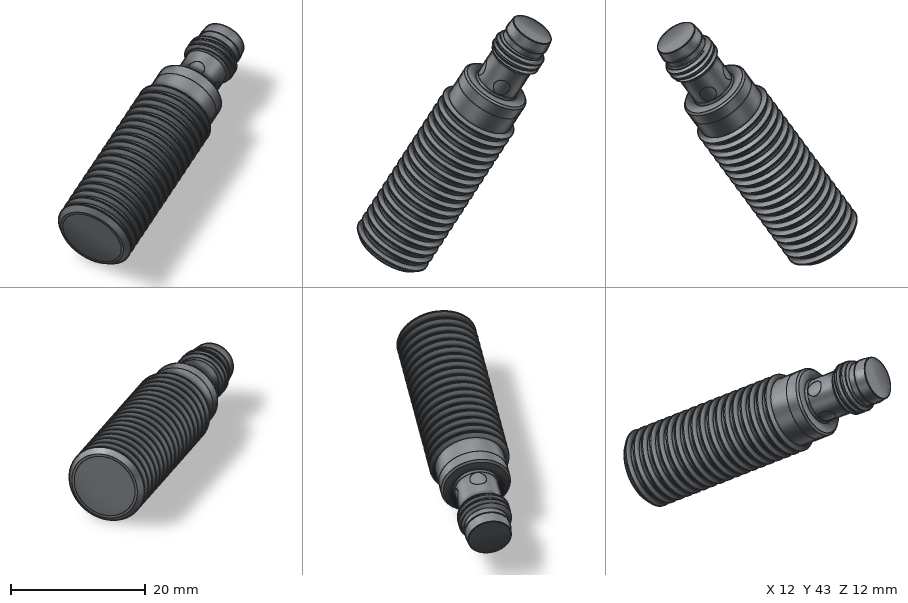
import cadquery as cq

OVERALL_LENGTH = 43.0

SLEEVE_LENGTH = 30.0
BARREL_RADIUS = 5.25
RIB_DIAMETER = 12.0
RIB_RADIUS = RIB_DIAMETER / 2
RIB_COUNT = 18
RIB_SPAN = 25.8
RIB_PITCH = RIB_SPAN / (RIB_COUNT - 1)
RIB_CREST_WIDTH = 0.2
RIB_FLANK_WIDTH = 0.35
RIB_HEIGHT = RIB_RADIUS - BARREL_RADIUS
FIRST_RIB_CENTER = RIB_HEIGHT + RIB_CREST_WIDTH / 2

FACE_RADIUS = 4.85
FACE_THICKNESS = 0.85

COLLAR_LENGTH = 2.05
COLLAR_CHAMFER = 0.3
COLLAR_END = SLEEVE_LENGTH + COLLAR_LENGTH

NECK_RADIUS = 3.3
NECK_FLARE_LENGTH = 0.4
NECK_FLARE_HEIGHT = 0.17
TIP_BAND_RADIUS = 3.45
TIP_BAND_LENGTH = 0.5
TIP_TAPER_LENGTH = 1.35
TIP_END_RADIUS = 3.25
TIP_EDGE_CHAMFER = 0.1
TIP_BAND_TOP = OVERALL_LENGTH - TIP_TAPER_LENGTH

THREAD_START = 37.05
THREAD_END = 40.13
THREAD_RADIUS = 3.95
THREAD_ROOT_RADIUS = 3.5
THREAD_PITCH = 1.0
THREAD_CREST_WIDTH = 0.3
THREAD_ROOT_WIDTH = 0.15
THREAD_CHAMFER = THREAD_RADIUS - NECK_RADIUS
GROOVE_START = 36.65
GROOVE_TURNS = 3.7
GROOVE_OVERCUT = 0.15

LAMP_COUNT = 4
LAMP_RADIUS = 1.25
LAMP_DEPTH = 0.85
LAMP_CENTER = 33.75


def turned(points):
    """Revolve a closed (radius, y) outline about the Y axis."""
    return cq.Workplane("XY").polyline(points).close().revolve(360, (0, 0, 0), (0, 1, 0))


def disc(radius, length):
    """Cylinder on the Y axis, from Y = 0."""
    return cq.Workplane("XZ").circle(radius).extrude(-length)


def make_sleeve():
    """Barrel with evenly spaced ring ribs and a recess for the sensing face."""
    half_crest = RIB_CREST_WIDTH / 2
    half_base = half_crest + RIB_FLANK_WIDTH
    outline = [(0, 0), (BARREL_RADIUS, 0)]
    for i in range(RIB_COUNT):
        center = FIRST_RIB_CENTER + i * RIB_PITCH
        if i > 0:
            outline.append((BARREL_RADIUS, center - half_base))
        outline.append((RIB_RADIUS, center - half_crest))
        outline.append((RIB_RADIUS, center + half_crest))
        outline.append((BARREL_RADIUS, center + half_base))
    outline += [(BARREL_RADIUS, SLEEVE_LENGTH), (0, SLEEVE_LENGTH)]
    return turned(outline).cut(make_sensing_face())


def make_sensing_face():
    """Plain disc, flush with the front of the sleeve."""
    return disc(FACE_RADIUS, FACE_THICKNESS)


def make_collar():
    """Disc seated on the sleeve, chamfered on its rear edge."""
    collar = disc(BARREL_RADIUS, COLLAR_LENGTH).translate((0, SLEEVE_LENGTH, 0))
    return collar.faces(">Y").edges().chamfer(COLLAR_CHAMFER)


def make_thread_groove():
    """Helical V groove with a flat root, wound about the Y axis from its +X side."""
    cutter_radius = THREAD_RADIUS + GROOVE_OVERCUT
    half_root = THREAD_ROOT_WIDTH / 2
    half_mouth = (THREAD_PITCH - THREAD_CREST_WIDTH) / 2
    flank_slope = (half_mouth - half_root) / (THREAD_RADIUS - THREAD_ROOT_RADIUS)
    half_cutter = half_mouth + flank_slope * GROOVE_OVERCUT
    helix = cq.Wire.makeHelix(THREAD_PITCH, GROOVE_TURNS * THREAD_PITCH, THREAD_ROOT_RADIUS)
    groove = (
        cq.Workplane("XZ")
        .polyline([
            (THREAD_ROOT_RADIUS, -half_root),
            (cutter_radius, -half_cutter),
            (cutter_radius, half_cutter),
            (THREAD_ROOT_RADIUS, half_root),
        ])
        .close()
        .sweep(cq.Workplane(helix), isFrenet=True)
    )
    return groove.rotate((0, 0, 0), (1, 0, 0), -90).translate((0, GROOVE_START, 0))


def make_plug_blank():
    """Turned neck, thread blank and tapered tip."""
    return turned([
        (0, COLLAR_END),
        (NECK_RADIUS + NECK_FLARE_HEIGHT, COLLAR_END),
        (NECK_RADIUS, COLLAR_END + NECK_FLARE_LENGTH),
        (NECK_RADIUS, THREAD_START),
        (THREAD_RADIUS, THREAD_START + THREAD_CHAMFER),
        (THREAD_RADIUS, THREAD_END - THREAD_CHAMFER),
        (NECK_RADIUS, THREAD_END),
        (NECK_RADIUS, TIP_BAND_TOP - TIP_BAND_LENGTH),
        (TIP_BAND_RADIUS, TIP_BAND_TOP - TIP_BAND_LENGTH),
        (TIP_BAND_RADIUS, TIP_BAND_TOP),
        (TIP_END_RADIUS, OVERALL_LENGTH - TIP_EDGE_CHAMFER),
        (TIP_END_RADIUS - TIP_EDGE_CHAMFER, OVERALL_LENGTH),
        (0, OVERALL_LENGTH),
    ])


def make_lamp(index):
    """Round lamp whose outer end follows the neck surface, one per quarter turn from +Z."""
    post = (
        cq.Workplane("XY", origin=(0, LAMP_CENTER, NECK_RADIUS - LAMP_DEPTH))
        .circle(LAMP_RADIUS)
        .extrude(2 * LAMP_DEPTH)
    )
    neck = disc(NECK_RADIUS, OVERALL_LENGTH)
    return post.intersect(neck).rotate((0, 0, 0), (0, 1, 0), index * 360 / LAMP_COUNT)


def make_plug(lamps):
    """Plug with its thread cut and a pocket for each lamp."""
    rod = disc(THREAD_RADIUS, OVERALL_LENGTH - COLLAR_END).translate((0, COLLAR_END, 0))
    threaded_rod = rod.cut(make_thread_groove())
    plug = threaded_rod.intersect(make_plug_blank())
    for lamp in lamps:
        plug = plug.cut(lamp)
    return plug


sleeve = make_sleeve()
sensing_face = make_sensing_face()
collar = make_collar()
lamps = [make_lamp(i) for i in range(LAMP_COUNT)]
plug = make_plug(lamps)

result = cq.Compound.makeCompound([
    sleeve.val(),
    sensing_face.val(),
    collar.val(),
    plug.val(),
    *[lamp.val() for lamp in lamps],
])